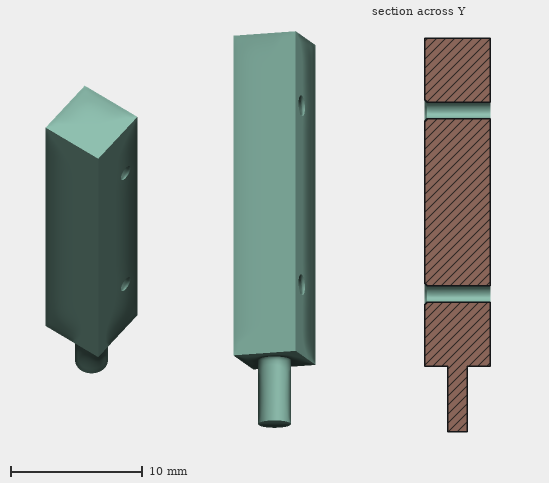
import cadquery as cq

body_width = 5.0
body_height = 25.0

stem_diameter = 2.5
stem_length = 5.0

hole_diameter = 1.22
countersink_diameter = 1.6
countersink_depth = (countersink_diameter - hole_diameter) / 2
hole_edge_distance = 1.5
top_hole_distance = 5.5
hole_spacing = 14.0

hole_y = body_width / 2 - hole_edge_distance
top_hole_z = body_height - top_hole_distance


def make_body():
    """Square bar standing on Z = 0."""
    return cq.Workplane("XY").rect(body_width, body_width).extrude(body_height)


def make_stem():
    """Round stem reaching down from the bottom of the body."""
    return cq.Workplane("XY").circle(stem_diameter / 2).extrude(-stem_length)


def make_hole_cutter(hole_z):
    """Through hole along X with a conical countersink at the -X face."""
    entry = cq.Workplane("YZ", origin=(-body_width / 2, hole_y, hole_z))
    bore = entry.circle(hole_diameter / 2).extrude(body_width)
    countersink = (
        entry.circle(countersink_diameter / 2)
        .workplane(offset=countersink_depth)
        .circle(hole_diameter / 2)
        .loft()
    )
    return bore.union(countersink)


result = make_body().union(make_stem())
for hole_z in (top_hole_z, top_hole_z - hole_spacing):
    result = result.cut(make_hole_cutter(hole_z))